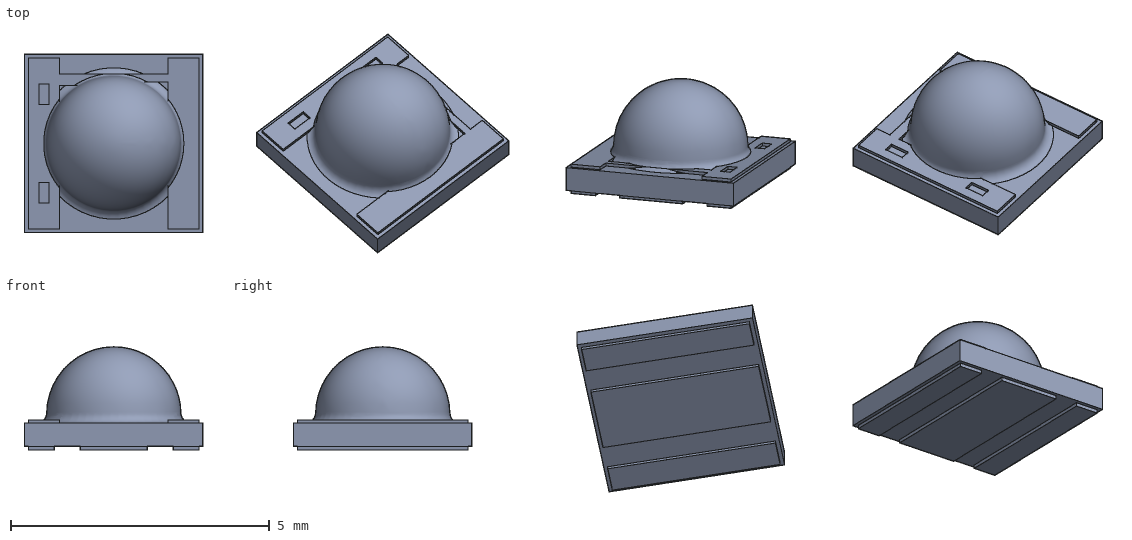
import cadquery as cq
import math

SIDE = 3.45
SUBSTRATE_THICKNESS = 0.455
METAL_INSET = 0.075
CONTACT_THICKNESS = 0.072
TRACE_THICKNESS = 0.06
METAL_HALF = SIDE / 2 - METAL_INSET
METAL_LENGTH = 2 * METAL_HALF

SUBSTRATE_BOTTOM = CONTACT_THICKNESS
SUBSTRATE_TOP = SUBSTRATE_BOTTOM + SUBSTRATE_THICKNESS
LENS_TOP = 2.0

SIDE_CONTACT_WIDTH = 0.5
THERMAL_PAD_WIDTH = 1.3

BAR_WIDTH = 0.6
BAR_CENTER_X = METAL_HALF - BAR_WIDTH / 2
BAR_INNER_X = METAL_HALF - BAR_WIDTH
BRIDGE_BACK_Y = 1.34
BRIDGE_WIDTH_RIGHT = 0.15
BRIDGE_WIDTH_LEFT = 0.217
WINDOW_WIDTH = 0.193
WINDOW_LENGTH = 0.397
WINDOW_CENTER_Y = 0.955

DOME_RADIUS = 1.3
DOME_CENTER_Z = LENS_TOP - DOME_RADIUS
FOOT_TOP_Z = 0.72
FOOT_TOP_RADIUS = math.sqrt(DOME_RADIUS**2 - (FOOT_TOP_Z - DOME_CENTER_Z) ** 2)
FOOT_BASE_RADIUS = 1.463
FLARE_RADIUS = 0.2


def block(x_min, x_max, y_min, y_max, z_min, height):
    """Box given by its extents in X and Y, its underside and its height."""
    box = cq.Workplane("XY").box(x_max - x_min, y_max - y_min, height, centered=False)
    return box.translate((x_min, y_min, z_min))


def make_substrate():
    half = SIDE / 2
    return block(-half, half, -half, half, SUBSTRATE_BOTTOM, SUBSTRATE_THICKNESS)


def make_contact(center_x, width):
    """Full-length metal strip under the substrate."""
    left = center_x - width / 2
    right = center_x + width / 2
    return block(left, right, -METAL_HALF, METAL_HALF, 0, CONTACT_THICKNESS)


def bridge_half(x_min, x_max, width):
    """Half of the bridge, measured forward from its common back edge."""
    front_y = BRIDGE_BACK_Y - width
    return block(x_min, x_max, front_y, BRIDGE_BACK_Y, SUBSTRATE_TOP, TRACE_THICKNESS)


def make_trace():
    """Two bars and their stepped bridge, with two windows through the -X bar."""
    bars = (
        cq.Workplane("XY", origin=(0, 0, SUBSTRATE_TOP))
        .pushPoints([(-BAR_CENTER_X, 0), (BAR_CENTER_X, 0)])
        .rect(BAR_WIDTH, METAL_LENGTH)
        .extrude(TRACE_THICKNESS)
    )
    left_bridge = bridge_half(-BAR_INNER_X, 0, BRIDGE_WIDTH_LEFT)
    right_bridge = bridge_half(0, BAR_INNER_X, BRIDGE_WIDTH_RIGHT)
    windows = (
        cq.Workplane("XY", origin=(0, 0, SUBSTRATE_TOP))
        .pushPoints([(-BAR_CENTER_X, -WINDOW_CENTER_Y), (-BAR_CENTER_X, WINDOW_CENTER_Y)])
        .rect(WINDOW_WIDTH, WINDOW_LENGTH)
        .extrude(TRACE_THICKNESS)
    )
    return bars.union(left_bridge).union(right_bridge).cut(windows)


def make_lens(trace):
    """Revolved dome and flared foot, recessed where it sits over the trace."""
    mid_angle = math.pi / 4
    dome_mid = (
        DOME_RADIUS * math.cos(mid_angle),
        DOME_CENTER_Z + DOME_RADIUS * math.sin(mid_angle),
    )
    profile = (
        cq.Workplane("XZ")
        .moveTo(0, SUBSTRATE_TOP)
        .lineTo(FOOT_BASE_RADIUS, SUBSTRATE_TOP)
        .radiusArc((FOOT_TOP_RADIUS, FOOT_TOP_Z), FLARE_RADIUS)
        .threePointArc(dome_mid, (0, LENS_TOP))
        .close()
    )
    return profile.revolve(360, (0, 0, 0), (0, 1, 0)).cut(trace)


substrate = make_substrate()
trace = make_trace()
lens = make_lens(trace)
thermal_pad = make_contact(0, THERMAL_PAD_WIDTH)
side_contact_x = METAL_HALF - SIDE_CONTACT_WIDTH / 2
side_contacts = [make_contact(x, SIDE_CONTACT_WIDTH) for x in (-side_contact_x, side_contact_x)]

result = cq.Compound.makeCompound(
    [
        substrate.val(),
        trace.val(),
        lens.val(),
        thermal_pad.val(),
        *[contact.val() for contact in side_contacts],
    ]
)